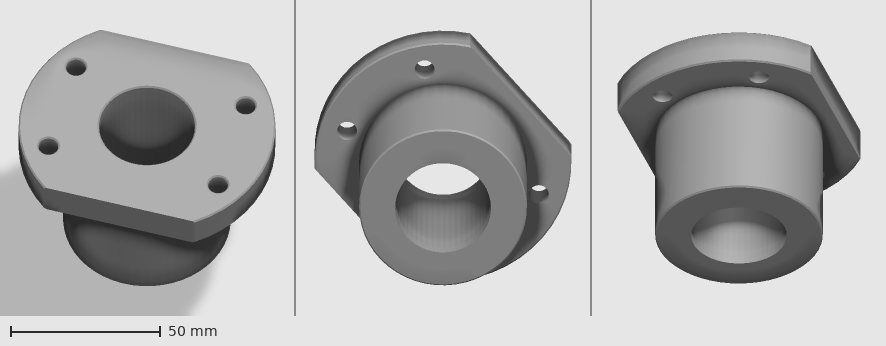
import cadquery as cq
import math

flange_diameter = 85.7
flange_width = 68.0
flange_thickness = 11.9

total_height = 53.0
body_diameter = 56.0
bore_diameter = 32.0

bolt_circle_radius = 33.9
bolt_hole_diameter = 6.6
bolt_angles = (30, 150, 210, 330)

edge_chamfer = 0.5

body_height = total_height - flange_thickness


def make_body():
    """Sleeve body standing on Z = 0, with a chamfered lower rim."""
    body = cq.Workplane("XY").circle(body_diameter / 2).extrude(body_height)
    return body.faces("<Z").chamfer(edge_chamfer)


def make_flange():
    """Disc with chamfered rims, trimmed to width so the flats stay sharp."""
    disc = (
        cq.Workplane("XY")
        .workplane(offset=body_height)
        .circle(flange_diameter / 2)
        .extrude(flange_thickness)
        .edges()
        .chamfer(edge_chamfer)
    )
    trim = cq.Workplane("XY").box(
        flange_diameter, flange_width, total_height, centered=(True, True, False)
    )
    return disc.intersect(trim)


def make_hole(diameter, x=0, y=0):
    """Cutter for a through hole whose upper rim is chamfered."""
    bore = cq.Workplane("XY").center(x, y).circle(diameter / 2).extrude(total_height)
    countersink = (
        cq.Workplane("XY")
        .workplane(offset=total_height)
        .center(x, y)
        .circle(diameter / 2 + edge_chamfer)
        .workplane(offset=-edge_chamfer)
        .circle(diameter / 2)
        .loft(ruled=True)
    )
    return bore.union(countersink)


result = make_body().union(make_flange()).cut(make_hole(bore_diameter))

for angle in bolt_angles:
    hole_x = bolt_circle_radius * math.cos(math.radians(angle))
    hole_y = bolt_circle_radius * math.sin(math.radians(angle))
    result = result.cut(make_hole(bolt_hole_diameter, hole_x, hole_y))